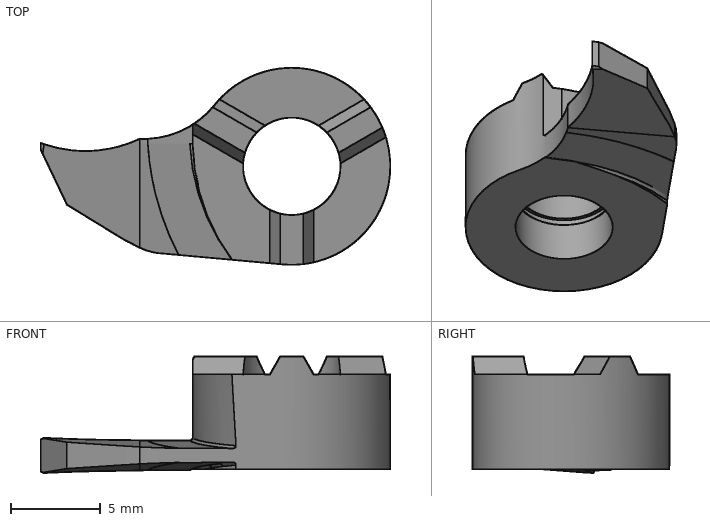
import cadquery as cq
import math

HUB_RADIUS = 5.5
BORE_RADIUS = 2.71
HUB_HEIGHT = 5.3
GROOVE_DEPTH = 0.15
GROOVE_BOTTOM = 2.48
GROOVE_WIDTH = 0.49

TOOTH_HEIGHT = 1.0
TOOTH_TOP_WIDTH = 1.3
TOOTH_BASE_WIDTH = 2.44
TOOTH_ANGLES = (-90, 30, 150)

SPLIT_X = -8.48
SPLIT_UPPER = (SPLIT_X, 1.55)
SPLIT_LOWER = (SPLIT_X, -4.55)
NECK_MIDDLE = (-6.1, 2.0)
NECK_END_X = -4.29
NECK_END = (NECK_END_X, math.sqrt(HUB_RADIUS**2 - NECK_END_X**2))
TAIL_BEND = (-7.14, -4.88)
TIP_BEND = (-9.36, -4.1)
LOWER_BEND_MIDDLE = (-7.84, -4.78)
TIP_BEND_MIDDLE = (-8.93, -4.33)
TIP_HEEL = (-12.54, -2.15)
TIP_X = -14.0
TIP_UPPER = (TIP_X, 1.3)
TIP_LOWER = (TIP_X, 0.92)
RAKE_MIDDLE = (-11.55, 0.85)
TIP_BEVEL_WIDTH = 0.2
TIP_BEVEL_DROP = 0.1

MIDDLE_Z = 0.78
LEVEL_Y = 1.27
SHANK_HALF = 0.84
TIP_HALF = 1.0
SHANK_LEAN = 0.07
TIP_LEAN = 0.064
TIP_TAPER = 0.027
LEAN_ANGLE = math.degrees(math.atan(SHANK_LEAN))

FACE_ARC_CENTER = (7.31, 2.16)
FACE_ARC_RADIUS = 15.37
WALL_CENTER = (5.77, 1.75)
WALL_RADIUS = 11.31
WALL_FILLET = 0.15

REACH = 23.4


def tangent_point(point):
    """Lower point where a line from the given point touches the hub circle."""
    distance = math.hypot(*point)
    angle = math.atan2(point[1], point[0]) + math.acos(HUB_RADIUS / distance)
    return HUB_RADIUS * math.cos(angle), HUB_RADIUS * math.sin(angle)


def prism(sketch, bottom, top):
    return sketch.extrude(top - bottom).translate((0, 0, bottom))


def holder_outline():
    return (
        cq.Workplane("XY")
        .moveTo(*SPLIT_UPPER)
        .threePointArc(NECK_MIDDLE, NECK_END)
        .threePointArc((HUB_RADIUS, 0), tangent_point(TAIL_BEND))
        .lineTo(*TAIL_BEND)
        .threePointArc(LOWER_BEND_MIDDLE, SPLIT_LOWER)
        .close()
    )


def tip_outline():
    return (
        cq.Workplane("XY")
        .moveTo(*SPLIT_UPPER)
        .threePointArc(RAKE_MIDDLE, TIP_UPPER)
        .lineTo(*TIP_LOWER)
        .lineTo(*TIP_HEEL)
        .lineTo(*TIP_BEND)
        .threePointArc(TIP_BEND_MIDDLE, SPLIT_LOWER)
        .close()
    )


def both_sides(upper_half):
    """Join an upper half, cut at the middle plane, with its mirror image."""
    return upper_half.union(upper_half.mirror("XY", (0, 0, MIDDLE_Z)))


def leaning_slab(half_at_level, lean, taper):
    """Slab whose faces fall towards -Y and +X and are level in Y beyond LEVEL_Y."""
    def section(x):
        half = half_at_level - taper * (x - TIP_X)
        drop = lean * REACH
        return cq.Wire.makePolygon([
            cq.Vector(x, LEVEL_Y - REACH, MIDDLE_Z - REACH),
            cq.Vector(x, LEVEL_Y - REACH, MIDDLE_Z + half - drop),
            cq.Vector(x, LEVEL_Y, MIDDLE_Z + half),
            cq.Vector(x, LEVEL_Y + REACH, MIDDLE_Z + half),
            cq.Vector(x, LEVEL_Y + REACH, MIDDLE_Z - REACH),
        ], close=True)

    below_face = cq.Workplane(cq.Solid.makeLoft([section(-REACH), section(REACH)], True))
    return below_face.intersect(below_face.mirror("XY", (0, 0, MIDDLE_Z)))


def wall_profile(wall, far):
    """Section of the hub side: a wall at the given place with a concave fillet at height 0."""
    toe = wall + WALL_FILLET
    inset = WALL_FILLET * (1 - math.sqrt(0.5))
    return (
        cq.Workplane("XZ")
        .moveTo(far, -REACH)
        .lineTo(toe, -REACH)
        .lineTo(toe, 0)
        .threePointArc((wall + inset, inset), (wall, WALL_FILLET))
        .lineTo(wall, REACH)
        .lineTo(far, REACH)
        .close()
    )


def hub_side():
    """Space on the hub side of the arm wall; the wall stands square to the shank face."""
    face_z = MIDDLE_Z + SHANK_HALF + SHANK_LEAN * (WALL_CENTER[1] - LEVEL_Y)
    leaning = (
        wall_profile(WALL_RADIUS, 0)
        .revolve(360, (0, 0, 0), (0, 1, 0))
        .rotate((0, 0, 0), (1, 0, 0), LEAN_ANGLE)
        .translate((*WALL_CENTER, face_z))
    )
    lower_space = cq.Workplane("XY").box(2 * REACH, REACH, REACH, (True, False, False))
    lower_space = lower_space.translate((0, LEVEL_Y - REACH, MIDDLE_Z))
    wall_x = math.sqrt(WALL_RADIUS**2 - (WALL_CENTER[1] - LEVEL_Y)**2) - WALL_CENTER[0]
    upright = (
        wall_profile(wall_x, -REACH)
        .extrude(REACH)
        .rotate((0, 0, 0), (0, 0, 1), 180)
        .translate((0, LEVEL_Y, MIDDLE_Z + SHANK_HALF))
    )
    upper_space = cq.Workplane("XY").box(2 * REACH, 2 * REACH, REACH, (True, True, False))
    upright = upright.intersect(upper_space.translate((0, 0, MIDDLE_Z)))
    return both_sides(leaning.intersect(lower_space).union(upright))


def tooth(angle):
    top = HUB_HEIGHT + TOOTH_HEIGHT
    return (
        cq.Workplane("YZ")
        .polyline([
            (-TOOTH_BASE_WIDTH / 2, HUB_HEIGHT),
            (-TOOTH_TOP_WIDTH / 2, top),
            (TOOTH_TOP_WIDTH / 2, top),
            (TOOTH_BASE_WIDTH / 2, HUB_HEIGHT),
        ])
        .close()
        .extrude(2 * HUB_RADIUS)
        .rotate((0, 0, 0), (0, 0, 1), angle)
    )


def bore():
    groove_top = GROOVE_BOTTOM + GROOVE_WIDTH
    groove_radius = BORE_RADIUS + GROOVE_DEPTH
    groove = (
        cq.Workplane("XZ")
        .polyline([
            (0, GROOVE_BOTTOM),
            (BORE_RADIUS, GROOVE_BOTTOM),
            (groove_radius, GROOVE_BOTTOM + GROOVE_DEPTH),
            (groove_radius, groove_top),
            (0, groove_top),
        ])
        .close()
        .revolve(360, (0, 0, 0), (0, 1, 0))
    )
    return prism(cq.Workplane("XY").circle(BORE_RADIUS), -REACH, REACH).union(groove)


def make_holder():
    outline = prism(holder_outline(), -REACH, REACH)
    hub = prism(holder_outline(), 0, HUB_HEIGHT)
    for angle in TOOTH_ANGLES:
        hub = hub.union(tooth(angle))
    wall_space = hub_side()
    hub = hub.intersect(outline).intersect(wall_space)

    face_arc = prism(cq.Workplane("XY").center(*FACE_ARC_CENTER).circle(FACE_ARC_RADIUS), -REACH, REACH)
    arm = outline.cut(wall_space)
    shank = arm.intersect(face_arc).intersect(leaning_slab(SHANK_HALF, SHANK_LEAN, 0))
    root = arm.cut(face_arc).intersect(leaning_slab(TIP_HALF, TIP_LEAN, TIP_TAPER))
    return hub.union(shank).union(root).cut(bore())


def tip_bevel():
    """Small bevel that lowers the outermost end of the tip face."""
    corner = (TIP_X, MIDDLE_Z + TIP_HALF - TIP_BEVEL_DROP)
    slope = TIP_BEVEL_DROP / TIP_BEVEL_WIDTH
    upper = (
        cq.Workplane("XZ")
        .polyline([corner, (TIP_X, REACH), (TIP_X + REACH, REACH), (TIP_X + REACH, corner[1] + slope * REACH)])
        .close()
        .extrude(REACH, both=True)
    )
    return both_sides(upper)


def make_tip():
    blade = prism(tip_outline(), -REACH, REACH)
    return blade.intersect(leaning_slab(TIP_HALF, TIP_LEAN, TIP_TAPER)).cut(tip_bevel())


holder = make_holder()
cutting_tip = make_tip()
result = cq.Compound.makeCompound([holder.val(), cutting_tip.val()])